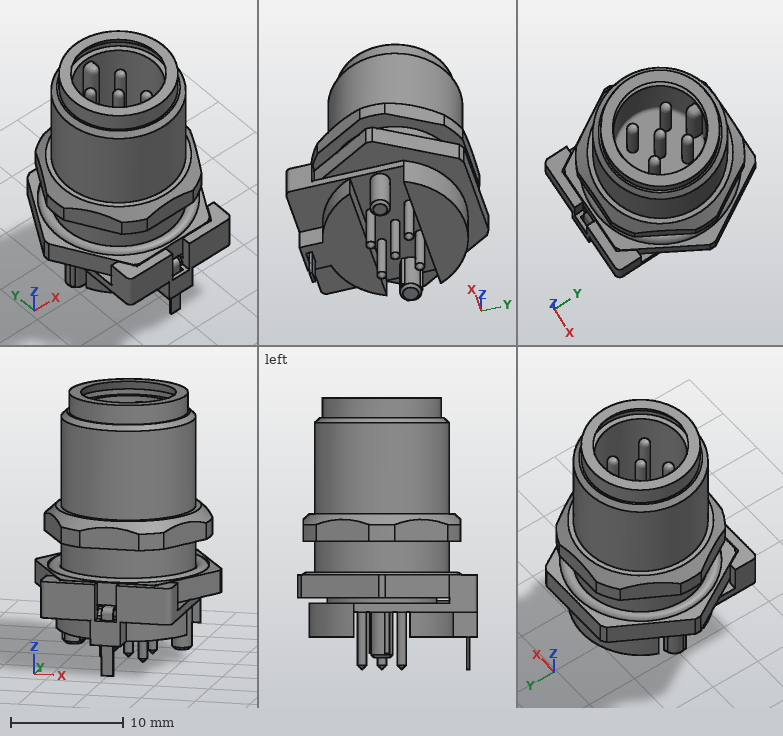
import cadquery as cq
import math

HEIGHT = 24.2
RIM_BOTTOM = 22.45
TUBE_SHOULDER = 22.0
NUT_TOP = 13.87
NUT_BOTTOM = 11.42
FLANGE_TOP = 8.45
FLANGE_BOTTOM = 6.4
PLATE_TOP = 5.93
PLATE_BOTTOM = 5.13
CARRIER_BOTTOM = 2.9

TUBE_RADIUS = 6.0
RIM_RADIUS = 5.3
SHOULDER_RADIUS = 5.5
MOUTH_RADIUS = 4.24
UNDERCUT_RADIUS = 4.7
UNDERCUT_CONE_DEPTH = 0.8
LEDGE_DEPTH = 1.28
CUP_RADIUS = 4.15
CUP_FLOOR_FILLET = 0.31
CUP_FLOOR = 13.8

KEY_WIDTH = 1.23
KEY_INNER_Y = 2.93
KEY_TOP = 22.38
KEY_ROUNDING = 0.48

FLANGE_ACROSS_FLATS = 15.0
FLANGE_CORNER_RADIUS = 8.5

RING_SECTION_RADIUS = 0.6
RING_STANDOUT = 0.25
RING_CENTRE_RADIUS = TUBE_RADIUS + RING_SECTION_RADIUS
RING_CENTRE_Z = FLANGE_TOP + RING_STANDOUT - RING_SECTION_RADIUS
GROOVE_RADIUS = RING_CENTRE_RADIUS + RING_SECTION_RADIUS
GROOVE_FLOOR = RING_CENTRE_Z - RING_SECTION_RADIUS

NUT_ACROSS_FLATS = 14.04
NUT_CORNER_RADIUS = 7.53
NUT_FACE_RADIUS = 6.49
NUT_CONE_HEIGHT = 0.95

NECK_RADIUS = 4.9
CARRIER_RADIUS = 6.49
CHANNEL_HALF_WIDTH = 2.5
PLATE_WIDTH = 12.05
PLATE_FRONT = -8.5
PLATE_CORNER_RADIUS = 0.5
WALL_BACK = -6.0
HEX_CLEARANCE = 0.07
NOTCH_WIDTH = 1.98
NOTCH_SLOPE_BOTTOM = 5.42
NOTCH_SHOULDER_TOP = 6.15
NOTCH_SHOULDER_BACK = -6.78
BLOCK_WIDTH = 2.73

STRIP_WIDTH = 1.06
STRIP_THICKNESS = 0.27
STRIP_FRONT = -7.82
STRIP_TOP = 6.15
STRIP_BEND_RADIUS = 0.5
SLOT_WIDTH = 1.15
SLOT_FRONT = -8.1

PIN_PITCH = 1.77
PIN_RADIUS = 0.5
PIN_TOP = 21.9
PIN_TIP_ROUNDING = 0.4
SOLDER_PIN_RADIUS = 0.4

RIBBED_PEG_X = -4.99
PLAIN_PEG_X = 4.91
RIBBED_PEG_RADIUS = 0.97
PLAIN_PEG_RADIUS = 0.9
PEG_BOTTOM = 1.06
PEG_CHAMFER = 0.27
PEG_RIB_RADIUS = 0.25
PEG_RIB_CENTRE = 0.87
PEG_RIB_BOTTOM = 1.45
PEG_RIB_ANGLES = (90, 210, 330)


def cylinder(radius, bottom, top):
    return cq.Workplane("XY").workplane(offset=bottom).circle(radius).extrude(top - bottom)


def box(x_min, x_max, y_min, y_max, z_min, z_max):
    size = (x_max - x_min, y_max - y_min, z_max - z_min)
    return cq.Workplane("XY").box(*size, centered=False).translate((x_min, y_min, z_min))


def wide_box(width, y_min, y_max, z_min, z_max):
    """Box centred on X = 0."""
    return box(-width / 2, width / 2, y_min, y_max, z_min, z_max)


def hexagon(across_flats, bottom, top):
    """Hexagonal prism with two corners on the X axis."""
    across_corners = across_flats / math.cos(math.pi / 6)
    return cq.Workplane("XY").workplane(offset=bottom).polygon(6, across_corners).extrude(top - bottom)


def revolved(profile):
    """Solid of revolution about Z from (radius, height) points."""
    return cq.Workplane("XZ").polyline(profile).close().revolve(360, (0, 0, 0), (0, 1, 0))


def make_tube():
    return revolved([
        (0, FLANGE_BOTTOM),
        (TUBE_RADIUS, FLANGE_BOTTOM),
        (TUBE_RADIUS, TUBE_SHOULDER),
        (SHOULDER_RADIUS, RIM_BOTTOM),
        (RIM_RADIUS, RIM_BOTTOM),
        (RIM_RADIUS, HEIGHT),
        (0, HEIGHT),
    ])


def make_socket():
    """Space inside the tube: undercut mouth, ledge and round-bottomed cup."""
    ledge = HEIGHT - LEDGE_DEPTH
    socket = revolved([
        (0, CUP_FLOOR),
        (CUP_RADIUS, CUP_FLOOR),
        (CUP_RADIUS, ledge),
        (UNDERCUT_RADIUS, ledge),
        (UNDERCUT_RADIUS, HEIGHT - UNDERCUT_CONE_DEPTH),
        (MOUTH_RADIUS, HEIGHT),
        (0, HEIGHT),
    ])
    return socket.faces("<Z").edges().fillet(CUP_FLOOR_FILLET)


def make_key():
    """Rib with a rounded inner edge and a rounded top, rooted in the tube wall."""
    root_radius = (CUP_RADIUS + TUBE_RADIUS) / 2
    length = 2 * (root_radius - KEY_INNER_Y)
    return (
        cq.Workplane("XY", origin=(0, root_radius, CUP_FLOOR))
        .slot2D(length, KEY_WIDTH, 90)
        .extrude(KEY_TOP - CUP_FLOOR)
        .faces(">Z")
        .edges()
        .fillet(KEY_ROUNDING)
        .intersect(cylinder(root_radius, CUP_FLOOR, HEIGHT))
    )


def make_flange():
    flange = hexagon(FLANGE_ACROSS_FLATS, FLANGE_BOTTOM, FLANGE_TOP)
    flange = flange.intersect(cylinder(FLANGE_CORNER_RADIUS, FLANGE_BOTTOM, FLANGE_TOP))
    groove = cylinder(GROOVE_RADIUS, GROOVE_FLOOR, FLANGE_TOP)
    return flange.cut(groove)


def make_notch_shoulder(front):
    """Sloped shoulder behind the notch, beside the shield strip."""
    slope = PLATE_TOP - NOTCH_SLOPE_BOTTOM
    profile = [
        (front, PLATE_BOTTOM),
        (front, NOTCH_SLOPE_BOTTOM),
        (front + slope, PLATE_TOP),
        (front + slope, NOTCH_SHOULDER_TOP),
        (NOTCH_SHOULDER_BACK, NOTCH_SHOULDER_TOP),
        (NOTCH_SHOULDER_BACK, PLATE_BOTTOM),
    ]
    return cq.Workplane("YZ").polyline(profile).close().extrude(NOTCH_WIDTH / 2, both=True)


def make_carrier():
    """Plate with two corner walls around the flange, standing on a channelled round foot."""
    plate_back = CHANNEL_HALF_WIDTH
    plate = wide_box(PLATE_WIDTH, PLATE_FRONT, plate_back, PLATE_BOTTOM, FLANGE_TOP)
    plate = plate.edges("|Z and <Y").fillet(PLATE_CORNER_RADIUS)
    above_plate = wide_box(PLATE_WIDTH, WALL_BACK, plate_back, PLATE_TOP, FLANGE_TOP)
    flange_pocket = hexagon(FLANGE_ACROSS_FLATS + 2 * HEX_CLEARANCE, PLATE_TOP, FLANGE_TOP)
    pocket_front = -FLANGE_ACROSS_FLATS / 2 - HEX_CLEARANCE
    notch = wide_box(NOTCH_WIDTH, PLATE_FRONT, pocket_front, PLATE_BOTTOM, FLANGE_TOP)

    foot = cylinder(CARRIER_RADIUS, CARRIER_BOTTOM, PLATE_TOP)
    channel = wide_box(
        2 * CARRIER_RADIUS, -CHANNEL_HALF_WIDTH, CHANNEL_HALF_WIDTH, CARRIER_BOTTOM, PLATE_BOTTOM
    )
    above_foot_front = wide_box(
        2 * CARRIER_RADIUS, -CARRIER_RADIUS, CHANNEL_HALF_WIDTH, PLATE_BOTTOM, PLATE_TOP
    )
    foot = foot.cut(channel).cut(above_foot_front)
    block = wide_box(BLOCK_WIDTH, PLATE_FRONT, -CHANNEL_HALF_WIDTH, CARRIER_BOTTOM, PLATE_BOTTOM)
    shoulder = make_notch_shoulder(pocket_front)
    neck = cylinder(NECK_RADIUS, PLATE_BOTTOM, FLANGE_BOTTOM)
    slot = wide_box(SLOT_WIDTH, SLOT_FRONT, STRIP_FRONT + STRIP_THICKNESS, CARRIER_BOTTOM, PLATE_BOTTOM)
    shoulder_room = wide_box(NOTCH_WIDTH, pocket_front, NOTCH_SHOULDER_BACK, PLATE_BOTTOM, PLATE_TOP)

    carrier = plate
    for opening in (above_plate, flange_pocket, notch, shoulder_room):
        carrier = carrier.cut(opening)
    for piece in (shoulder, foot, block, neck):
        carrier = carrier.union(piece)
    return carrier.cut(slot)


def make_strip():
    """Bent metal strip from the board up through the slot to the neck."""
    back = STRIP_FRONT + STRIP_THICKNESS
    strip = wide_box(STRIP_WIDTH, STRIP_FRONT, -NECK_RADIUS, 0, STRIP_TOP)
    strip = strip.edges("|X and <Y and >Z").fillet(STRIP_BEND_RADIUS)
    under_arm = wide_box(STRIP_WIDTH, back, -NECK_RADIUS, 0, STRIP_TOP - STRIP_THICKNESS)
    return strip.cut(under_arm)


def make_pin(x, y):
    upper = cylinder(PIN_RADIUS, FLANGE_BOTTOM, PIN_TOP).faces(">Z").edges().fillet(PIN_TIP_ROUNDING)
    lower = revolved([
        (0, 0),
        (SOLDER_PIN_RADIUS, SOLDER_PIN_RADIUS),
        (SOLDER_PIN_RADIUS, FLANGE_BOTTOM),
        (0, FLANGE_BOTTOM),
    ])
    return upper.union(lower).translate((x, y, 0))


def make_peg(radius):
    return cylinder(radius, PEG_BOTTOM, PLATE_BOTTOM).faces("<Z").chamfer(PEG_CHAMFER)


def make_ribbed_peg():
    """Peg on the -X side, with three round crush ribs."""
    peg = make_peg(RIBBED_PEG_RADIUS)
    rib = cylinder(PEG_RIB_RADIUS, PEG_RIB_BOTTOM, PLATE_BOTTOM).translate((PEG_RIB_CENTRE, 0, 0))
    for angle in PEG_RIB_ANGLES:
        peg = peg.union(rib.rotate((0, 0, 0), (0, 0, 1), angle))
    return peg.translate((RIBBED_PEG_X, 0, 0))


def make_plain_peg():
    """Slimmer peg on the +X side."""
    return make_peg(PLAIN_PEG_RADIUS).translate((PLAIN_PEG_X, 0, 0))


def make_connector():
    """Shell, carrier, shield strip, pegs and pins as one body."""
    connector = make_flange().union(make_tube()).cut(make_socket())
    connector = connector.union(make_key()).union(make_carrier()).union(make_strip())
    connector = connector.union(make_ribbed_peg()).union(make_plain_peg())
    pin_places = [(0, 0)]
    for x_side in (-1, 1):
        for y_side in (-1, 1):
            pin_places.append((x_side * PIN_PITCH, y_side * PIN_PITCH))
    for x, y in pin_places:
        connector = connector.union(make_pin(x, y))
    return connector


def make_nut():
    cone_bottom = NUT_TOP - NUT_CONE_HEIGHT
    envelope = revolved([
        (TUBE_RADIUS, NUT_BOTTOM),
        (NUT_CORNER_RADIUS, NUT_BOTTOM),
        (NUT_CORNER_RADIUS, cone_bottom),
        (NUT_FACE_RADIUS, NUT_TOP),
        (TUBE_RADIUS, NUT_TOP),
    ])
    return hexagon(NUT_ACROSS_FLATS, NUT_BOTTOM, NUT_TOP).intersect(envelope)


def make_sealing_ring():
    return (
        cq.Workplane("XZ")
        .center(RING_CENTRE_RADIUS, RING_CENTRE_Z)
        .circle(RING_SECTION_RADIUS)
        .revolve(360, (-RING_CENTRE_RADIUS, 0, 0), (-RING_CENTRE_RADIUS, 1, 0))
    )


connector = make_connector().solids().val()
nut = make_nut().solids().val()
sealing_ring = make_sealing_ring().val()

result = cq.Compound.makeCompound([connector, nut, sealing_ring])